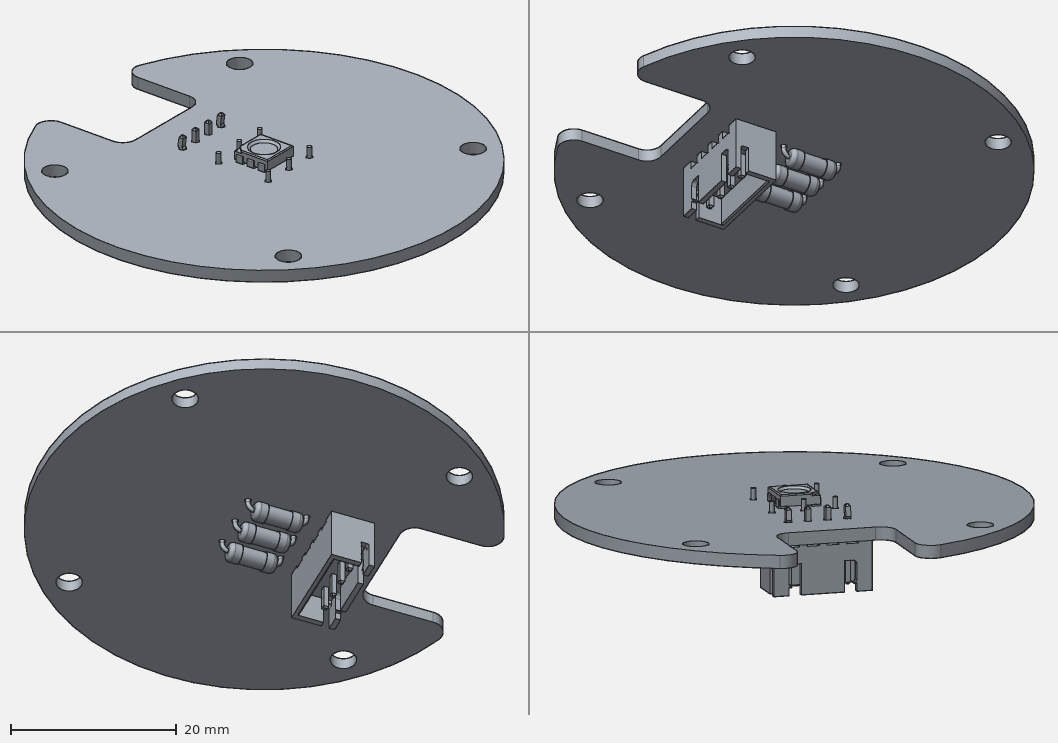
import cadquery as cq
import math

board_radius = 29.0
board_thickness = 1.6
mount_hole_diameter = 3.2
mount_hole_offset = 18.0
notch_floor_x = -15.4
notch_half_width = 7.5
notch_corner_radius = 2.0

pin_count = 4
pin_pitch = 2.5
pin_x = -9.55
pin_width = 0.65
pin_hole_diameter = 0.9
pin_top = board_thickness + 1.75
pin_bottom = -6.5
pin_tip_height = 0.25
pin_tip_inset = 0.2
pin_kink_offset = 0.2
pin_kink_z = board_thickness + 0.3
shell_x_min = -11.85
shell_depth = 5.6
shell_width = 12.4
shell_height = 7.0
shell_wall = 0.7
cavity_ceiling_z = -3.15
rim_chamfer = 0.2
end_slot_width = 1.05
end_slot_top_z = -3.65
end_slot_corner_radius = 0.35
face_slot_inner_y = 2.7
face_slot_outer_y = 4.3
face_slot_corner_radius = 0.6
catch_top_z = -5.55
catch_bottom_z = -6.05
catch_reach = 0.35
relief_width = 1.5
relief_channel_depth = 0.35
relief_pocket_depth = 1.05
relief_pocket_length = 1.0

resistor_count = 3
resistor_pitch = 4.0
resistor_axis_z = -1.35
resistor_half_length = 3.15
resistor_cap_diameter = 2.5
resistor_core_diameter = 2.25
resistor_core_half_length = 1.55
resistor_cap_fillet = 0.6
lead_diameter = 0.6
lead_hole_diameter = 0.8
lead_x = 3.8
lead_bend_radius = 1.0
lead_top = board_thickness + 1.4

led_size = 5.05
led_gap = 0.3
led_top = board_thickness + 1.75
led_edge_chamfer = 0.145
led_mark_leg = 1.05
led_mark_depth = 0.35
lens_top_diameter = 4.0
lens_floor_diameter = 3.3
lens_depth = 0.3
terminal_count = 3
terminal_pitch = 1.7
terminal_width = 1.0
terminal_thickness = 0.2
terminal_height = 1.05
terminal_foot_length = 1.15
terminal_bend_radius = 0.145


def centred_positions(count, pitch):
    """Evenly spaced positions, symmetric about zero."""
    return [(i - (count - 1) / 2) * pitch for i in range(count)]


def box_between(x_range, y_range, z_range):
    """Axis-aligned box given by its two limits along each axis."""
    x0, x1 = x_range
    y0, y1 = y_range
    z0, z1 = z_range
    return cq.Workplane("XY").box(x1 - x0, y1 - y0, z1 - z0, centered=False).translate((x0, y0, z0))


pin_positions_y = centred_positions(pin_count, pin_pitch)
resistor_positions_y = centred_positions(resistor_count, resistor_pitch)


def make_board():
    disc = cq.Workplane("XY").circle(board_radius).extrude(board_thickness)
    notch = (
        box_between(
            (-2 * board_radius, notch_floor_x),
            (-notch_half_width, notch_half_width),
            (0, board_thickness),
        )
        .edges("|Z and >X")
        .fillet(notch_corner_radius)
    )
    board = disc.cut(notch)

    mouth_x = -math.sqrt(board_radius**2 - notch_half_width**2)
    for side in (-1, 1):
        point = (mouth_x, side * notch_half_width, board_thickness / 2)
        board = board.edges(cq.selectors.NearestToPointSelector(point)).fillet(notch_corner_radius)

    mount_points = [(sx * mount_hole_offset, sy * mount_hole_offset) for sx in (-1, 1) for sy in (-1, 1)]
    pin_points = [(pin_x, y) for y in pin_positions_y]
    lead_points = [(side * lead_x, y) for side in (-1, 1) for y in resistor_positions_y]
    for points, diameter in (
        (mount_points, mount_hole_diameter),
        (pin_points, pin_hole_diameter),
        (lead_points, lead_hole_diameter),
    ):
        holes = cq.Workplane("XY").pushPoints(points).circle(diameter / 2).extrude(board_thickness)
        board = board.cut(holes)
    return board


def make_pin(y, kink):
    """Square pin with a pyramid tip at each end; kink shifts it towards -X just above the board."""
    tip_width = pin_width - 2 * pin_tip_inset
    shank_top = pin_top - pin_tip_height
    shank_bottom = pin_bottom + pin_tip_height
    left_x = pin_x - pin_width / 2
    right_x = pin_x + pin_width / 2
    pin = (
        cq.Workplane("XZ", origin=(0, y + pin_width / 2, 0))
        .moveTo(left_x, shank_bottom)
        .lineTo(left_x, board_thickness)
        .lineTo(left_x - kink, pin_kink_z)
        .lineTo(left_x, shank_top)
        .lineTo(right_x, shank_top)
        .lineTo(right_x - kink, pin_kink_z)
        .lineTo(right_x, board_thickness)
        .lineTo(right_x, shank_bottom)
        .close()
        .extrude(pin_width)
    )
    for base_z, direction in ((shank_top, 1), (shank_bottom, -1)):
        tip = (
            cq.Workplane("XY", origin=(pin_x, y, base_z))
            .rect(pin_width, pin_width)
            .workplane(offset=direction * pin_tip_height)
            .rect(tip_width, tip_width)
            .loft(combine=True)
        )
        pin = pin.union(tip)
    return pin


def make_shell():
    """Open-bottomed housing with slotted walls and a relief around each pin."""
    half_width = shell_width / 2
    shell_x_max = shell_x_min + shell_depth
    cavity_x_min = shell_x_min + shell_wall
    cavity_x_max = shell_x_max - shell_wall
    cavity_half_width = half_width - shell_wall

    shell = box_between((shell_x_min, shell_x_max), (-half_width, half_width), (-shell_height, 0))
    shell = shell.cut(
        box_between(
            (cavity_x_min, cavity_x_max),
            (-cavity_half_width, cavity_half_width),
            (-shell_height, cavity_ceiling_z),
        )
    )

    rim_point = (cavity_x_max, 0, -shell_height)
    shell = shell.edges(cq.selectors.NearestToPointSelector(rim_point)).chamfer(rim_chamfer)

    end_slot = (
        box_between(
            (cavity_x_min, cavity_x_min + end_slot_width),
            (-half_width, half_width),
            (-shell_height, end_slot_top_z),
        )
        .edges("|Y and >Z and <X")
        .fillet(end_slot_corner_radius)
    )
    shell = shell.cut(end_slot)

    face_slot = (
        box_between(
            (shell_x_min, cavity_x_min),
            (face_slot_inner_y, face_slot_outer_y),
            (-shell_height, cavity_ceiling_z),
        )
        .edges("|X and >Z and >Y")
        .fillet(face_slot_corner_radius)
    )
    catch = (
        cq.Workplane("YZ", origin=(shell_x_min, 0, 0))
        .moveTo(face_slot_outer_y, catch_top_z)
        .lineTo(face_slot_outer_y - catch_reach, catch_bottom_z)
        .lineTo(face_slot_outer_y, catch_bottom_z)
        .close()
        .extrude(shell_wall)
    )
    face_slot = face_slot.cut(catch)
    shell = shell.cut(face_slot).cut(face_slot.mirror("XZ"))

    for y in pin_positions_y:
        y_range = (y - relief_width / 2, y + relief_width / 2)
        channel = box_between((shell_x_min, shell_x_max), y_range, (-relief_channel_depth, 0))
        pocket = box_between(
            (shell_x_min, shell_x_min + relief_pocket_length), y_range, (-relief_pocket_depth, 0)
        )
        shell = shell.cut(channel).cut(pocket)
    return shell


def make_connector():
    connector = make_shell()
    for y in pin_positions_y:
        is_outer = y in (pin_positions_y[0], pin_positions_y[-1])
        kink = pin_kink_offset if is_outer else 0
        connector = connector.union(make_pin(y, kink))
    return connector


def make_lead(side):
    """Round lead that leaves the body along X and bends up through the board."""
    bend_start_x = side * (lead_x - lead_bend_radius)
    bend_end_z = resistor_axis_z + lead_bend_radius
    bend_reach = lead_bend_radius * math.sin(math.pi / 4)
    bend_middle = (bend_start_x + side * bend_reach, bend_end_z - bend_reach)
    path = (
        cq.Workplane("XZ")
        .moveTo(side * lead_x, lead_top)
        .lineTo(side * lead_x, bend_end_z)
        .threePointArc(bend_middle, (bend_start_x, resistor_axis_z))
    )
    return cq.Workplane("XY", origin=(side * lead_x, 0, lead_top)).circle(lead_diameter / 2).sweep(path)


def make_resistor(y):
    blank = (
        cq.Workplane("YZ", origin=(-resistor_half_length, 0, resistor_axis_z))
        .circle(resistor_cap_diameter / 2)
        .extrude(2 * resistor_half_length)
        .edges()
        .fillet(resistor_cap_fillet)
    )
    waist = (
        cq.Workplane("YZ", origin=(-resistor_core_half_length, 0, resistor_axis_z))
        .circle(resistor_cap_diameter / 2)
        .circle(resistor_core_diameter / 2)
        .extrude(2 * resistor_core_half_length)
    )
    resistor = blank.cut(waist)
    for side in (-1, 1):
        resistor = resistor.union(make_lead(side))
    return resistor.translate((0, y, 0))


def make_led_package():
    half = led_size / 2
    package = (
        box_between((-half, half), (-half, half), (board_thickness + led_gap, led_top))
        .faces(">Z")
        .edges()
        .chamfer(led_edge_chamfer)
    )

    lens = (
        cq.Workplane("XY", origin=(0, 0, led_top))
        .circle(lens_top_diameter / 2)
        .workplane(offset=-lens_depth)
        .circle(lens_floor_diameter / 2)
        .loft(combine=True)
    )

    corner_mark = (
        cq.Workplane("XY", origin=(-half, -half, led_top - led_mark_depth))
        .polyline([(0, 0), (led_mark_leg, 0), (0, led_mark_leg)])
        .close()
        .extrude(led_mark_depth)
    )
    return package.cut(lens).cut(corner_mark)


def make_terminal(x):
    """C-shaped terminal on the +Y side: out of the package, down and back under it."""
    outer_y = led_size / 2 + terminal_thickness
    foot_y = outer_y - terminal_foot_length
    x_range = (x - terminal_width / 2, x + terminal_width / 2)
    block = (
        box_between(x_range, (foot_y, outer_y), (board_thickness, board_thickness + terminal_height))
        .edges("|X and >Y")
        .fillet(terminal_bend_radius)
    )
    under_package = box_between(
        x_range,
        (foot_y, led_size / 2),
        (board_thickness + led_gap, board_thickness + terminal_height),
    )
    return block.cut(under_package)


def make_led():
    led = make_led_package()
    for x in centred_positions(terminal_count, terminal_pitch):
        terminal = make_terminal(x)
        led = led.union(terminal).union(terminal.mirror("XZ"))
    return led


board = make_board()
connector = make_connector()
led = make_led()
resistors = [make_resistor(y) for y in resistor_positions_y]

bodies = [board, connector, led, *resistors]
result = cq.Compound.makeCompound([body.solids().val() for body in bodies])